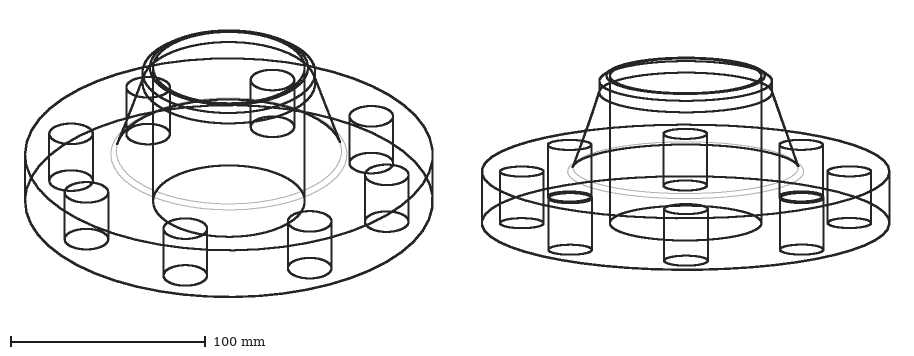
import cadquery as cq

flange_diameter = 209.5
flange_thickness = 27.2

total_height = 77.7
hub_diameter = 117.1
neck_diameter = 88.8
neck_start_height = 69.0
hub_fillet_radius = 3.0

bore_diameter = 78.0
weld_land = 1.7
bevel_height = 2.7

bolt_hole_count = 8
bolt_hole_diameter = 22.5
bolt_circle_diameter = 168.2


def make_plate():
    """Round flange plate standing on the XY plane."""
    return cq.Workplane("XY").circle(flange_diameter / 2).extrude(flange_thickness)


def make_neck():
    """Tapered hub, straight neck and weld bevel as one revolved solid."""
    neck_radius = neck_diameter / 2
    top_radius = bore_diameter / 2 + weld_land
    profile = [
        (0, 0),
        (hub_diameter / 2, 0),
        (hub_diameter / 2, flange_thickness),
        (neck_radius, neck_start_height),
        (neck_radius, total_height - bevel_height),
        (top_radius, total_height),
        (0, total_height),
    ]
    return cq.Workplane("XZ").polyline(profile).close().revolve(360, (0, 0, 0), (0, 1, 0))


def fillet_hub_root(body):
    """Round the inner corner where the hub cone meets the plate."""
    size = hub_diameter + hub_fillet_radius
    root_box = cq.selectors.BoxSelector(
        (-size / 2, -size / 2, flange_thickness - hub_fillet_radius),
        (size / 2, size / 2, flange_thickness + hub_fillet_radius),
        boundingbox=True,
    )
    return body.edges(root_box).edges("%CIRCLE").fillet(hub_fillet_radius)


def cut_bore(body):
    """Straight bore through the full height."""
    bore = cq.Workplane("XY").circle(bore_diameter / 2).extrude(total_height)
    return body.cut(bore)


def cut_bolt_holes(body):
    """Equally spaced through holes, the first one on the X axis."""
    holes = (
        cq.Workplane("XY")
        .polarArray(bolt_circle_diameter / 2, 0, 360, bolt_hole_count)
        .circle(bolt_hole_diameter / 2)
        .extrude(flange_thickness)
    )
    return body.cut(holes)


body = make_plate().union(make_neck())
body = fillet_hub_root(body)
body = cut_bore(body)
result = cut_bolt_holes(body)